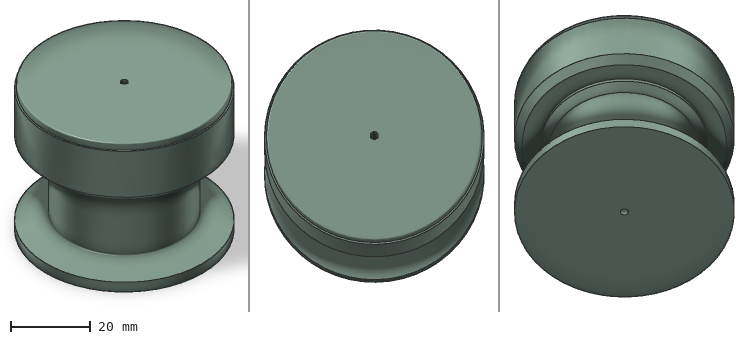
import cadquery as cq
import math

OUTER_DIAMETER = 55.0
TOTAL_HEIGHT = 45.0
TUBE_DIAMETER = 38.0
BORE_DIAMETER = 2.0

FLANGE_RIM_HEIGHT = 2.95
FLANGE_SLOPE = math.radians(15)
FLANGE_ROOT_FILLET = 0.5

JOINT_Z = 24.0
CHAMFER = 2.0
COLLAR_DIAMETER = 42.0
COLLAR_BAND_HEIGHT = 1.0
LIP_DIAMETER = 54.0
LIP_HEIGHT = 2.0
LIP_FILLET = 0.5

outer_radius = OUTER_DIAMETER / 2
tube_radius = TUBE_DIAMETER / 2
collar_radius = COLLAR_DIAMETER / 2
lip_radius = LIP_DIAMETER / 2
bore_radius = BORE_DIAMETER / 2


def revolve_about_z(outline):
    """Close a radius-height outline and turn it about the Z axis."""
    return outline.close().revolve(360, (0, 0, 0), (0, 1, 0))


def make_flanged_tube():
    """Bored tube with a conical clamping flange at its foot."""
    cone_top = FLANGE_RIM_HEIGHT + (outer_radius - tube_radius) * math.tan(FLANGE_SLOPE)
    tangent_length = FLANGE_ROOT_FILLET * math.tan((math.pi / 2 - FLANGE_SLOPE) / 2)
    fillet_outer_radius = tube_radius + tangent_length * math.cos(FLANGE_SLOPE)
    fillet_low_z = cone_top - tangent_length * math.sin(FLANGE_SLOPE)
    fillet_top_z = cone_top + tangent_length
    outline = (
        cq.Workplane("XZ")
        .moveTo(bore_radius, 0)
        .lineTo(outer_radius, 0)
        .lineTo(outer_radius, FLANGE_RIM_HEIGHT)
        .lineTo(fillet_outer_radius, fillet_low_z)
        .radiusArc((tube_radius, fillet_top_z), FLANGE_ROOT_FILLET)
        .lineTo(tube_radius, JOINT_Z)
        .lineTo(bore_radius, JOINT_Z)
    )
    return revolve_about_z(outline)


def make_head():
    """Bored head with a bevelled collar below and a rounded lip on top."""
    collar_bevel_top = JOINT_Z + collar_radius - tube_radius
    underside_z = collar_bevel_top + COLLAR_BAND_HEIGHT
    shoulder_z = TOTAL_HEIGHT - LIP_HEIGHT
    outline = (
        cq.Workplane("XZ")
        .moveTo(bore_radius, JOINT_Z)
        .lineTo(tube_radius, JOINT_Z)
        .lineTo(collar_radius, collar_bevel_top)
        .lineTo(collar_radius, underside_z)
        .lineTo(outer_radius - CHAMFER, underside_z)
        .lineTo(outer_radius, underside_z + CHAMFER)
        .lineTo(outer_radius, shoulder_z)
        .lineTo(lip_radius, shoulder_z)
        .lineTo(lip_radius, TOTAL_HEIGHT)
        .lineTo(bore_radius, TOTAL_HEIGHT)
    )
    top_rim = cq.selectors.RadiusNthSelector(-1)
    return revolve_about_z(outline).faces(">Z").edges(top_rim).fillet(LIP_FILLET)


flanged_tube = make_flanged_tube()
head = make_head()

result = cq.Compound.makeCompound([flanged_tube.val(), head.val()])